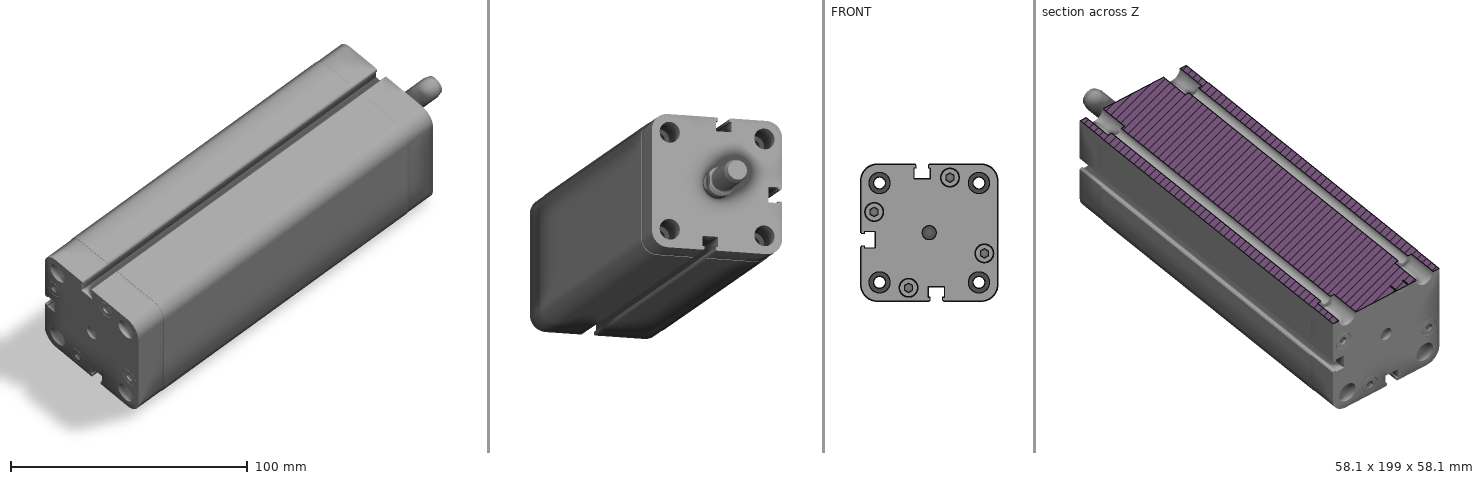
import cadquery as cq

body_width = 58.1
total_length = 199.0
rod_length = 28.5
body_length = total_length - rod_length
corner_radius = 7.2
half_width = body_width / 2

cap_length = 14.7
cap_inset = 0.2

slot_offset = 3.0
slot_mouth_width = 5.2
slot_mouth_depth = 1.8
slot_mouth_chamfer = 0.5
slot_inner_width = 6.8
slot_depth = 6.2
slot_angles = (0, 90, 180)

mount_spacing = 42.0
mount_hole_diameter = 5.0
mount_bore_diameter = 9.0
mount_bore_depth = cap_length

center_hole_diameter = 6.0
center_hole_depth = 6.0

screw_side_offset = 8.8
screw_out_offset = 23.3
screw_bore_diameter = 8.0
screw_head_diameter = 7.5
screw_head_height = 4.0
hexagon_sides = 6
socket_across_corners = 4.0
socket_turn = 90
socket_depth = 2.0
screw_positions = (
    (screw_side_offset, screw_out_offset),
    (-screw_out_offset, screw_side_offset),
    (-screw_side_offset, -screw_out_offset),
    (screw_out_offset, -screw_side_offset),
)

rod_diameter = 12.5
collar_length = 6.8
collar_chamfer = 1.2
flats_width = 10.5
flats_length = 4.8
flats_runout = rod_diameter / 2 - flats_width / 2
neck_diameter = 8.0
neck_length = 2.4
thread_diameter = 10.0
thread_tip_diameter = 8.4
thread_tip_length = 2.8
thread_runout = 0.4


def turn(shape, angle):
    """Rotate a shape about the long axis of the cylinder (from +Z towards -X)."""
    return shape.rotate((0, 0, 0), (0, 1, 0), -angle)


def cylinder_y(diameter, start, end, x=0, z=0):
    """Cylinder along Y between two Y positions."""
    return cq.Workplane("XZ", origin=(x, start, z)).circle(diameter / 2).extrude(start - end)


def rounded_bar(start, end, inset=0):
    """Square bar with rounded corners between two Y positions."""
    width = body_width - 2 * inset
    bar = cq.Workplane("XZ", origin=(0, start, 0)).rect(width, width).extrude(start - end)
    return bar.edges("|Y").fillet(corner_radius - inset)


def make_slot():
    """T-slot in the top face: a chamfered narrow mouth above a wider channel."""
    mouth_half = slot_mouth_width / 2
    inner_half = slot_inner_width / 2
    flared_half = mouth_half + slot_mouth_chamfer
    shoulder = half_width - slot_mouth_depth
    floor = half_width - slot_depth
    chamfer_bottom = half_width - slot_mouth_chamfer
    right_side = [
        (inner_half, floor),
        (inner_half, shoulder),
        (mouth_half, shoulder),
        (mouth_half, chamfer_bottom),
        (flared_half, half_width),
    ]
    left_side = [(-x, z) for x, z in reversed(right_side)]
    return (
        cq.Workplane("XZ", origin=(-slot_offset, 0, 0))
        .polyline(right_side + left_side)
        .close()
        .extrude(-body_length)
    )


def make_screw_recess(x, z):
    """Ring gap around a flush screw head, with the hexagon socket in the head."""
    bore = cylinder_y(screw_bore_diameter, 0, screw_head_height, x, z)
    head = cylinder_y(screw_head_diameter, 0, screw_head_height, x, z)
    socket = (
        cq.Workplane("XZ", origin=(x, 0, z))
        .transformed(rotate=(0, 0, socket_turn))
        .polygon(hexagon_sides, socket_across_corners)
        .extrude(-socket_depth)
    )
    return bore.cut(head).union(socket)


def make_body():
    """Tube with both end caps, slots, mounting holes and cover screws."""
    rod_cap_start = body_length - cap_length
    body = rounded_bar(cap_length, rod_cap_start)
    body = body.union(rounded_bar(0, cap_length, cap_inset))
    body = body.union(rounded_bar(rod_cap_start, body_length, cap_inset))

    slot = make_slot()
    for angle in slot_angles:
        body = body.cut(turn(slot, angle))

    mount_positions = (-mount_spacing / 2, mount_spacing / 2)
    for x in mount_positions:
        for z in mount_positions:
            body = body.cut(cylinder_y(mount_hole_diameter, 0, body_length, x, z))
            body = body.cut(cylinder_y(mount_bore_diameter, 0, mount_bore_depth, x, z))
            body = body.cut(cylinder_y(mount_bore_diameter, body_length - mount_bore_depth, body_length, x, z))

    for x, z in screw_positions:
        body = body.cut(make_screw_recess(x, z))

    return body.cut(cylinder_y(center_hole_diameter, 0, center_hole_depth))


def make_rod():
    """Rod end: collar with two wrench flats, neck and threaded tip."""
    collar_end = body_length + collar_length
    thread_start = collar_end + neck_length

    collar = cylinder_y(rod_diameter, body_length, collar_end).faces(">Y").chamfer(collar_chamfer)
    flats_start = collar_end - flats_length
    flat_cut = (
        cq.Workplane("XY")
        .moveTo(flats_width / 2, collar_end)
        .lineTo(flats_width / 2, flats_start)
        .lineTo(rod_diameter / 2, flats_start - flats_runout)
        .lineTo(rod_diameter / 2, collar_end)
        .close()
        .extrude(rod_diameter / 2, both=True)
    )
    collar = collar.cut(flat_cut).cut(flat_cut.mirror("YZ"))

    neck = cylinder_y(neck_diameter, collar_end, thread_start)
    tip_inset = (thread_diameter - thread_tip_diameter) / 2
    thread = cylinder_y(thread_diameter, thread_start, total_length)
    thread = thread.faces(">Y").chamfer(thread_tip_length, tip_inset)
    thread = thread.faces("<Y").chamfer(thread_runout)
    return collar.union(neck).union(thread)


result = make_body().union(make_rod())